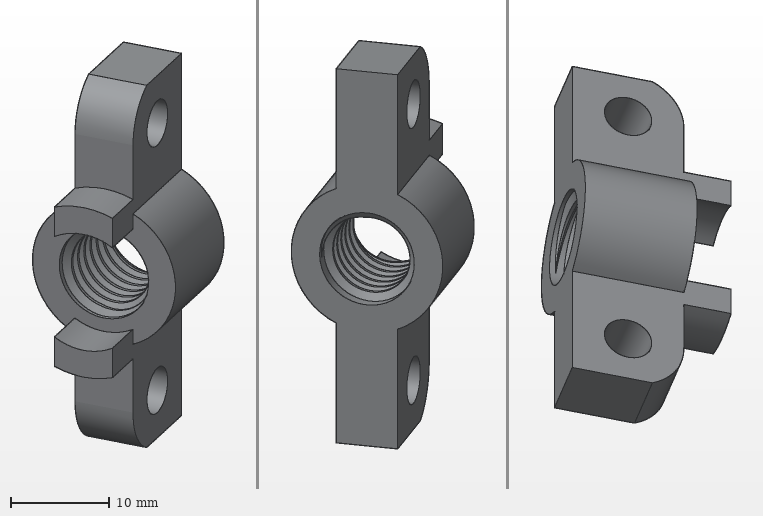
import cadquery as cq
import math

LENGTH = 40.6
HUB_DIAMETER = 16.0
EAR_WIDTH = 6.5
DEPTH = 11.82
LUG_LENGTH = 5.0
LUG_OUTER_RADIUS = 9.5
LUG_INNER_RADIUS = 6.5

EAR_HOLE_DIAMETER = 5.0
EAR_HOLE_HEIGHT = 15.0

BORE_DIAMETER = 10.0
THREAD_MINOR_DIAMETER = 8.35
PITCH = 1.5
ROOT_WIDTH = PITCH * 7 / 8
CREST_WIDTH = PITCH / 4
FADE_TURN = 0.25
TIP_FRACTION = 0.02
THREAD_START_DEGREES = 10.0
POINTS_PER_TURN = 32

FRONT_Y = 0.0
BACK_Y = FRONT_Y + DEPTH
MIDDLE_Y = FRONT_Y + DEPTH / 2
THREAD_TURNS = (DEPTH - ROOT_WIDTH) / PITCH
THREAD_START_Y = FRONT_Y + ROOT_WIDTH / 2
THREAD_START_ANGLE = math.radians(THREAD_START_DEGREES)


def cylinder_along_y(radius, start_y, length):
    axis = cq.Vector(0, 1, 0)
    return cq.Workplane(cq.Solid.makeCylinder(radius, length, cq.Vector(0, start_y, 0), axis))


def make_ear_plate():
    """Full-height plate whose front corners are rounded about the ear holes."""
    radius = DEPTH / 2
    half = LENGTH / 2
    top_y = MIDDLE_Y - math.sqrt(radius**2 - (half - EAR_HOLE_HEIGHT) ** 2)
    middle_angle = math.acos((MIDDLE_Y - top_y) / radius) / 2
    arc_y = MIDDLE_Y - radius * math.cos(middle_angle)
    arc_z = EAR_HOLE_HEIGHT + radius * math.sin(middle_angle)
    plate = (
        cq.Workplane("YZ")
        .moveTo(BACK_Y, -half)
        .lineTo(BACK_Y, half)
        .lineTo(top_y, half)
        .threePointArc((arc_y, arc_z), (FRONT_Y, EAR_HOLE_HEIGHT))
        .lineTo(FRONT_Y, -EAR_HOLE_HEIGHT)
        .threePointArc((arc_y, -arc_z), (top_y, -half))
        .close()
        .extrude(EAR_WIDTH / 2, both=True)
    )
    holes = (
        cq.Workplane("YZ")
        .pushPoints([(MIDDLE_Y, EAR_HOLE_HEIGHT), (MIDDLE_Y, -EAR_HOLE_HEIGHT)])
        .circle(EAR_HOLE_DIAMETER / 2)
        .extrude(EAR_WIDTH, both=True)
    )
    return plate.cut(holes)


def make_lugs():
    """Two curved lugs, cut from one ring, that project in front of the hub."""
    start_y = FRONT_Y - LUG_LENGTH
    ring = cylinder_along_y(LUG_OUTER_RADIUS, start_y, LUG_LENGTH).cut(
        cylinder_along_y(LUG_INNER_RADIUS, start_y, LUG_LENGTH)
    )
    return ring.intersect(cq.Workplane("XY").box(EAR_WIDTH, 2 * LUG_LENGTH, LENGTH))


def make_housing():
    hub = cylinder_along_y(HUB_DIAMETER / 2, FRONT_Y, DEPTH)
    bore = cylinder_along_y(BORE_DIAMETER / 2, FRONT_Y, DEPTH)
    return hub.union(make_ear_plate()).cut(bore).union(make_lugs())


def thread_size(turn):
    """Share of the full profile at a given turn: tapered at both ends."""
    distance_to_end = min(turn, THREAD_TURNS - turn)
    return TIP_FRACTION + (1 - TIP_FRACTION) * min(1.0, distance_to_end / FADE_TURN)


def thread_corner(turn, on_crest, side):
    """Point on one of the four helical edges; side is -1 for front, 1 for back."""
    size = thread_size(turn)
    radius = BORE_DIAMETER / 2
    width = ROOT_WIDTH
    if on_crest:
        radius -= size * (BORE_DIAMETER - THREAD_MINOR_DIAMETER) / 2
        width = CREST_WIDTH
    angle = THREAD_START_ANGLE + math.tau * turn
    y = THREAD_START_Y + PITCH * turn + side * size * width / 2
    return (radius * math.cos(angle), y, -radius * math.sin(angle))


def thread_edge(first_turn, last_turn, corner):
    steps = math.ceil((last_turn - first_turn) * POINTS_PER_TURN)
    turns = [first_turn + (last_turn - first_turn) * step / steps for step in range(steps + 1)]
    return cq.Edge.makeSpline([cq.Vector(*thread_corner(turn, *corner)) for turn in turns])


def make_thread():
    """Internal helical thread lying on the bore wall, with faded ends."""
    corners = [(False, -1), (True, -1), (True, 1), (False, 1)]
    full_turns = [FADE_TURN + turn for turn in range(math.ceil(THREAD_TURNS - 2 * FADE_TURN))]
    stops = [0, *full_turns, THREAD_TURNS - FADE_TURN, THREAD_TURNS]
    faces = []
    for first, last in zip(stops, stops[1:]):
        edges = [thread_edge(first, last, corner) for corner in corners]
        for edge, neighbour in zip(edges, edges[1:] + edges[:1]):
            faces.append(cq.Face.makeRuledSurface(edge, neighbour))
    for turn in (0, THREAD_TURNS):
        outline = [cq.Vector(*thread_corner(turn, *corner)) for corner in corners]
        faces.append(cq.Face.makeFromWires(cq.Wire.makePolygon(outline, close=True)))
    return cq.Workplane(cq.Solid.makeSolid(cq.Shell.makeShell(faces)).fix())


housing = make_housing()
thread = make_thread()

result = cq.Compound.makeCompound([housing.val(), thread.val()])